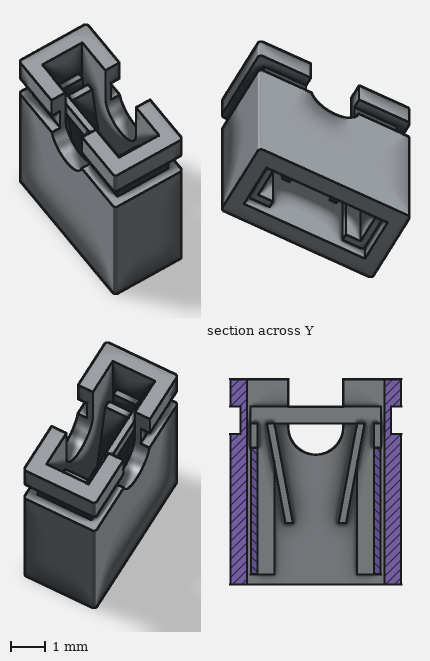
import cadquery as cq

LENGTH = 5.0
WIDTH = 2.4
HEIGHT = 6.0
WALL = 0.5
EDGE_RADIUS = 0.1
CAVITY_LENGTH = LENGTH - 2 * WALL
CAVITY_WIDTH = WIDTH - 2 * WALL

RIM_HEIGHT = 0.8
GROOVE_HEIGHT = 0.8
GROOVE_DEPTH = 0.3
GROOVE_TOP = HEIGHT - RIM_HEIGHT

SLOT_RADIUS = 0.8
SLOT_DEPTH = 2.2
SLOT_CENTER_Z = HEIGHT - SLOT_DEPTH + SLOT_RADIUS

CLEARANCE = 0.095
SHEET = 0.21
CLIP_HALF_LENGTH = CAVITY_LENGTH / 2 - CLEARANCE
CLIP_FRONT = -CAVITY_WIDTH / 2 + CLEARANCE
CLIP_BACK = -CLIP_FRONT
PLATE_BACK = CLIP_FRONT + SHEET
BEND_RADIUS = 0.08
CLIP_TOP = GROOVE_TOP
BRIDGE_HEIGHT = 0.5
LEG_TOP = CLIP_TOP - BRIDGE_HEIGHT
CLIP_BOTTOM = 0.3

NOTCH_DEPTH = 0.09
NOTCH_HEIGHT = 0.7
LEG_BACK = CLIP_BACK - NOTCH_DEPTH

SPRING_TOP_X = 1.205
SPRING_LEAN = 0.54
SPRING_SHEET = 0.22
SPRING_BOTTOM_Z = 1.8
SPRING_BOTTOM_X = SPRING_TOP_X - SPRING_LEAN


def box(x_min, x_max, y_min, y_max, z_min, z_max):
    """Axis-aligned block between the given limits."""
    block = cq.Workplane("XY").box(x_max - x_min, y_max - y_min, z_max - z_min, centered=False)
    return block.translate((x_min, y_min, z_min))


def make_groove():
    """Rectangular ring that cuts the grip groove."""
    return (
        cq.Workplane("XY", origin=(0, 0, GROOVE_TOP - GROOVE_HEIGHT))
        .rect(LENGTH, WIDTH)
        .rect(LENGTH - 2 * GROOVE_DEPTH, WIDTH - 2 * GROOVE_DEPTH)
        .extrude(GROOVE_HEIGHT)
    )


def make_slot():
    """U-shaped cutter running through both long walls along Y."""
    return (
        cq.Workplane("XZ")
        .moveTo(-SLOT_RADIUS, HEIGHT)
        .lineTo(-SLOT_RADIUS, SLOT_CENTER_Z)
        .threePointArc((0, HEIGHT - SLOT_DEPTH), (SLOT_RADIUS, SLOT_CENTER_Z))
        .lineTo(SLOT_RADIUS, HEIGHT)
        .close()
        .extrude(WIDTH / 2, both=True)
    )


def make_housing():
    """Sleeve with rounded corners, grip groove and slot."""
    sleeve = cq.Workplane("XY").rect(LENGTH, WIDTH).extrude(HEIGHT).edges("|Z").fillet(EDGE_RADIUS)
    cavity = cq.Workplane("XY").rect(CAVITY_LENGTH, CAVITY_WIDTH).extrude(HEIGHT)
    return sleeve.cut(cavity).cut(make_groove()).cut(make_slot())


def make_plate():
    """Front plate of the clip: a top bridge over an open window."""
    plate = box(-CLIP_HALF_LENGTH, CLIP_HALF_LENGTH, CLIP_FRONT, PLATE_BACK, CLIP_BOTTOM, CLIP_TOP)
    plate = plate.edges("|Z and <Y").fillet(BEND_RADIUS)
    window = box(-SPRING_TOP_X, SPRING_TOP_X, CLIP_FRONT, PLATE_BACK, CLIP_BOTTOM, LEG_TOP)
    return plate.cut(window)


def make_side_wall():
    """Side wall of the clip at the +X end."""
    inner_x = CLIP_HALF_LENGTH - SHEET
    wall = box(inner_x, CLIP_HALF_LENGTH, PLATE_BACK, CLIP_BACK, CLIP_BOTTOM, LEG_TOP)
    notch = box(inner_x, CLIP_HALF_LENGTH, LEG_BACK, CLIP_BACK, LEG_TOP - NOTCH_HEIGHT, LEG_TOP)
    return wall.cut(notch)


def make_spring_leg():
    """Leaning spring leg on the +X side, joined to the plate beside the window."""
    return (
        cq.Workplane("XZ", origin=(0, LEG_BACK, 0))
        .moveTo(SPRING_TOP_X, LEG_TOP)
        .lineTo(SPRING_TOP_X + SPRING_SHEET, LEG_TOP)
        .lineTo(SPRING_BOTTOM_X + SPRING_SHEET, SPRING_BOTTOM_Z)
        .lineTo(SPRING_BOTTOM_X, SPRING_BOTTOM_Z)
        .close()
        .extrude(LEG_BACK - PLATE_BACK)
    )


def make_clip():
    """Plate with a side wall and a spring leg mirrored at each end."""
    clip = make_plate()
    for member in (make_side_wall(), make_spring_leg()):
        clip = clip.union(member).union(member.mirror("YZ"))
    return clip


housing = make_housing()
clip = make_clip()

result = cq.Compound.makeCompound([housing.val(), clip.val()])